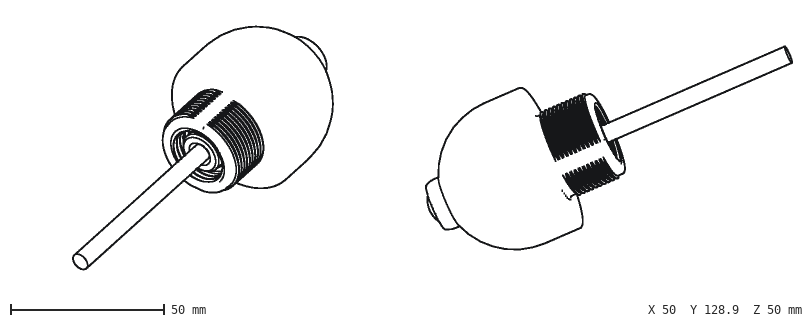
import cadquery as cq
import math


head_radius = 25.0
rim_height = 13.4
rim_fillet = 1.0

lens_radius = 8.8
lens_cylinder_top = 38.5
lens_shoulder_y = 41.8
lens_shoulder_radius = 7.9
lens_wall_arc_radius = 5.8
cap_radius = 5.8
head_top_y = 44.0
cap_height = head_top_y - lens_shoulder_y

shank_length = 20.1
shank_root_radius = 14.2
shank_fillet = 1.0
flat_height = 13.9
thread_crest_radius = 15.0
thread_turns = 10.5
thread_length = 15.9
thread_pitch = thread_length / thread_turns
thread_start_y = -18.2
thread_start_angle = 90
ridge_base_width = 1.2
ridge_crest_width = 0.3
ridge_embed = 0.1

bore_radius = 9.5
bore_depth = 6.5
groove_root_radius = 11.1
groove_pitch = 1.8
groove_mouth_width = 1.7
groove_root_width = 0.4
groove_overcut = 0.3
groove_turns = 4
groove_start_angle = -85

gland_radius = 7.6
gland_setback = 1.8
gland_step = 0.4
gland_step_height = 1.0
gland_chamfer = 0.8
gland_mouth_radius = 4.3
gland_mouth_depth = 1.3

pocket_width = 5.0
pocket_depth = 0.6
pocket_corner_radius = 0.6

cable_radius = 3.0
cable_end_y = head_top_y - 128.9

shank_end_y = -shank_length
bore_floor_y = shank_end_y + bore_depth
gland_face_y = shank_end_y + gland_setback
cable_start_y = bore_floor_y


def turned(outline):
    """Solid of revolution about Y from a closed outline of (radius, y)."""
    return outline.close().revolve(360, (0, 0, 0), (0, 1, 0))


def rod(radius, y_from, y_to):
    """Cylinder on the Y axis between two heights."""
    return cq.Workplane("XZ", origin=(0, y_from, 0)).circle(radius).extrude(y_from - y_to)


def helical_bar(base_radius, base_width, tip_radius, tip_width, pitch, turns, start_y, start_angle):
    """Right-handed trapezoidal bar winding about Y from start_y toward +Y."""
    path = cq.Workplane(cq.Wire.makeHelix(pitch, pitch * turns, base_radius))
    bar = (
        cq.Workplane("XZ")
        .moveTo(base_radius, -base_width / 2)
        .lineTo(tip_radius, -tip_width / 2)
        .lineTo(tip_radius, tip_width / 2)
        .lineTo(base_radius, base_width / 2)
        .close()
        .sweep(path, isFrenet=True)
    )
    return (
        bar.rotate((0, 0, 0), (0, 0, 1), start_angle)
        .rotate((0, 0, 0), (1, 0, 0), -90)
        .translate((0, start_y, 0))
    )


def make_head():
    """Rim, dome and lens as one turned solid."""
    dome_edge_y = rim_height + math.sqrt(head_radius**2 - lens_radius**2)
    lens_edge_angle = math.atan2(dome_edge_y - rim_height, lens_radius)
    dome_mid = (
        head_radius * math.cos(lens_edge_angle / 2),
        rim_height + head_radius * math.sin(lens_edge_angle / 2),
    )
    cap_sphere_radius = (cap_radius**2 + cap_height**2) / (2 * cap_height)
    cap_mid_angle = math.asin(cap_radius / cap_sphere_radius) / 2
    cap_mid = (
        cap_sphere_radius * math.sin(cap_mid_angle),
        head_top_y - cap_sphere_radius * (1 - math.cos(cap_mid_angle)),
    )
    outline = (
        cq.Workplane("XY")
        .moveTo(0, 0)
        .lineTo(head_radius, 0)
        .lineTo(head_radius, rim_height)
        .threePointArc(dome_mid, (lens_radius, dome_edge_y))
        .lineTo(lens_radius, lens_cylinder_top)
        .radiusArc((lens_shoulder_radius, lens_shoulder_y), -lens_wall_arc_radius)
        .lineTo(cap_radius, lens_shoulder_y)
        .threePointArc(cap_mid, (0, head_top_y))
    )
    return turned(outline).faces("<Y").edges().fillet(rim_fillet)


def flat_slab():
    """Slab between the two flats of the shank."""
    return cq.Workplane("XY").box(2 * head_radius, 2 * shank_length, 2 * flat_height)


def make_shank_core():
    """Cylinder with two flats, rounded at its free end."""
    core = rod(shank_root_radius, shank_end_y, 0).rotate((0, 0, 0), (0, 1, 0), 90)
    return core.intersect(flat_slab()).faces("<Y").edges().fillet(shank_fillet)


def make_outer_thread():
    """Helical ridge around the shank, trimmed by the flats."""
    ridge = helical_bar(
        shank_root_radius - ridge_embed,
        ridge_base_width,
        thread_crest_radius,
        ridge_crest_width,
        thread_pitch,
        thread_turns,
        thread_start_y,
        thread_start_angle,
    )
    return ridge.intersect(flat_slab())


def make_bore_groove():
    """Helical groove of the bore's thread, running in from outside the shank end."""
    return helical_bar(
        bore_radius - groove_overcut,
        groove_mouth_width,
        groove_root_radius,
        groove_root_width,
        groove_pitch,
        groove_turns,
        shank_end_y - groove_pitch,
        groove_start_angle,
    )


def make_gland():
    """Stepped, chamfered boss with a conical cable mouth."""
    nose_radius = gland_radius - gland_step
    step_y = bore_floor_y - gland_step_height
    boss = rod(gland_radius, step_y, bore_floor_y).union(
        rod(nose_radius, gland_face_y, bore_floor_y).faces("<Y").chamfer(gland_chamfer)
    )
    mouth_outline = (
        cq.Workplane("XY")
        .moveTo(0, gland_face_y)
        .lineTo(gland_mouth_radius, gland_face_y)
        .lineTo(cable_radius, gland_face_y + gland_mouth_depth)
        .lineTo(0, gland_face_y + gland_mouth_depth)
    )
    cable_hole = rod(cable_radius, gland_face_y, cable_start_y)
    return boss.cut(turned(mouth_outline)).cut(cable_hole)


def make_floor_pockets():
    """Two rounded pockets filling the bore floor between gland and bore wall."""
    pocket_length = bore_radius - gland_radius
    pocket_offset = (bore_radius + gland_radius) / 2
    return (
        cq.Workplane("XZ", origin=(0, bore_floor_y, 0))
        .pushPoints([(-pocket_offset, 0), (pocket_offset, 0)])
        .rect(pocket_length, pocket_width)
        .extrude(-pocket_depth)
        .edges("|Y")
        .fillet(pocket_corner_radius)
    )


def make_housing():
    """Head, threaded shank, bore and gland as one solid."""
    body = make_head().union(make_shank_core())
    shank_root_box = cq.selectors.BoxSelector(
        (-thread_crest_radius, -rim_fillet / 2, -thread_crest_radius),
        (thread_crest_radius, rim_fillet / 2, thread_crest_radius),
    )
    body = body.edges(shank_root_box).fillet(shank_fillet)
    body = body.cut(rod(bore_radius, shank_end_y, bore_floor_y))
    body = body.cut(make_bore_groove())
    body = body.cut(make_floor_pockets())
    body = body.union(make_gland())
    return body.union(make_outer_thread())


def make_cable():
    """Plain round cable seated in the gland."""
    return rod(cable_radius, cable_end_y, cable_start_y)


housing = make_housing()
cable = make_cable()
result = cq.Compound.makeCompound([housing.val(), cable.val()])